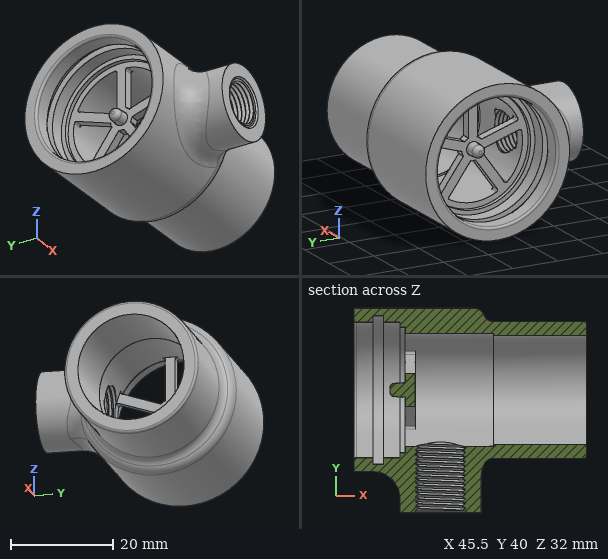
import cadquery as cq
import math

total_length = 45.45
sleeve_radius = 16.0
spigot_radius = 13.4
shoulder_x = 25.4
shoulder_radius = 2.0
spigot_end_round = 0.5

socket_radius = 26.4 / 2
socket_mouth_round = 0.5
seal_groove_radius = 29.0 / 2
seal_groove_start = 3.77
seal_groove_end = 5.77
socket_end = 9.0
seat_radius = 24.5 / 2
seat_end = 10.0
bore_radius = 22.0 / 2
outlet_start = 27.3
outlet_radius = 21.3 / 2

spoke_count = 5
spoke_width = 2.0
wheel_thickness = 2.0
wheel_hub_radius = 2.5
spoke_root_round = 0.4

pin_length = 3.0
pin_base_radius = 1.45
pin_dome_radius = 1.95 / 2
pin_tip_radius = 0.34

port_x = 16.9
port_radius = 16.0 / 2
port_face_y = -24.0
port_blend_radius = 5.0
thread_minor_radius = 8.45 / 2
thread_major_radius = 9.78 / 2
thread_pitch = 0.9
thread_turns = 15
port_mouth_radius = 10.45 / 2


def turned(profile):
    """Revolve a closed half-profile (x, radius) about the X axis."""
    return profile.close().revolve(360, (0, 0, 0), (1, 0, 0))


def make_body():
    """Solid sleeve and spigot joined by two tangent arcs."""
    middle_radius = (sleeve_radius + spigot_radius) / 2
    arc_drop = sleeve_radius - middle_radius
    arc_length = math.sqrt(shoulder_radius**2 - (shoulder_radius - arc_drop) ** 2)
    outline = (
        cq.Workplane("XY")
        .lineTo(0, sleeve_radius)
        .lineTo(shoulder_x - arc_length, sleeve_radius)
        .radiusArc((shoulder_x, middle_radius), shoulder_radius)
        .radiusArc((shoulder_x + arc_length, spigot_radius), -shoulder_radius)
        .lineTo(total_length, spigot_radius)
        .lineTo(total_length, 0)
    )
    return turned(outline).faces(">X").edges().fillet(spigot_end_round)


def add_port_boss(body):
    """Join the side port to the body with a large blend around its root."""
    boss = cq.Workplane("XZ").center(port_x, 0).circle(port_radius).extrude(-port_face_y)
    joined = body.union(boss)
    root_reach = port_radius + 0.05
    near_root = cq.selectors.BoxSelector(
        (port_x - root_reach, -sleeve_radius - 0.05, -root_reach),
        (port_x + root_reach, -spigot_radius + 0.45, root_reach),
        boundingbox=True,
    )
    return joined.edges(near_root).fillet(port_blend_radius)


def make_bore():
    """Stepped bore with a rounded mouth and a seal groove in the socket."""
    outline = (
        cq.Workplane("XY")
        .lineTo(0, socket_radius + socket_mouth_round)
        .radiusArc((socket_mouth_round, socket_radius), -socket_mouth_round)
        .lineTo(seal_groove_start, socket_radius)
        .lineTo(seal_groove_start, seal_groove_radius)
        .lineTo(seal_groove_end, seal_groove_radius)
        .lineTo(seal_groove_end, socket_radius)
        .lineTo(socket_end, socket_radius)
        .lineTo(socket_end, seat_radius)
        .lineTo(seat_end, seat_radius)
        .lineTo(seat_end, bore_radius)
        .lineTo(outlet_start, bore_radius)
        .lineTo(outlet_start, outlet_radius)
        .lineTo(total_length, outlet_radius)
        .lineTo(total_length, 0)
    )
    return turned(outline)


def make_port_hole():
    """Tapped hole with a countersunk mouth, running into the main bore."""
    mouth = port_face_y
    hole_end = -(bore_radius - 1.8)
    countersink_end = mouth + port_mouth_radius - thread_major_radius
    return (
        cq.Workplane("XY")
        .moveTo(port_x, mouth)
        .lineTo(port_x + port_mouth_radius, mouth)
        .lineTo(port_x + thread_major_radius, countersink_end)
        .lineTo(port_x + thread_minor_radius, countersink_end)
        .lineTo(port_x + thread_minor_radius, hole_end)
        .lineTo(port_x, hole_end)
        .close()
        .revolve(360, (port_x, 0, 0), (port_x, 1, 0))
    )


def make_thread():
    """Helical V-groove of the tapped hole."""
    overlap = 0.05
    half_width = 0.48 * thread_pitch
    helix = cq.Wire.makeHelix(thread_pitch, thread_pitch * thread_turns, thread_minor_radius)
    groove = (
        cq.Workplane("XZ")
        .moveTo(thread_minor_radius - overlap, -half_width)
        .lineTo(thread_major_radius, 0)
        .lineTo(thread_minor_radius - overlap, half_width)
        .close()
        .sweep(cq.Workplane(obj=helix), isFrenet=True)
    )
    return groove.rotate((0, 0, 0), (1, 0, 0), -90).translate((port_x, port_face_y, 0))


def make_wheel():
    """Hub and spokes, with the spoke roots blended into the bore wall."""
    rim_radius = bore_radius + 0.45
    plane = cq.Workplane("YZ", origin=(seat_end, 0, 0))
    rim = plane.circle(rim_radius).circle(bore_radius).extrude(wheel_thickness)
    wheel = plane.circle(wheel_hub_radius).extrude(wheel_thickness)
    for i in range(spoke_count):
        spoke = (
            plane.center(0, bore_radius / 2)
            .rect(spoke_width, bore_radius + 0.45)
            .extrude(wheel_thickness)
            .rotate((0, 0, 0), (1, 0, 0), i * 360 / spoke_count)
        )
        wheel = wheel.union(spoke)
    wheel = wheel.union(rim)
    roots = wheel.edges("|X").filter(
        lambda edge: abs(math.hypot(edge.Center().y, edge.Center().z) - bore_radius) < 0.05
    )
    return roots.fillet(spoke_root_round)


def make_pin():
    """Slightly tapered pin with a domed end and a small flat tip."""
    tip_x = seat_end - pin_length
    root_x = seat_end + wheel_thickness / 2
    outline = (
        cq.Workplane("XY")
        .moveTo(tip_x, 0)
        .lineTo(tip_x, pin_tip_radius)
        .radiusArc((tip_x + pin_dome_radius, pin_tip_radius + pin_dome_radius), pin_dome_radius)
        .lineTo(seat_end, pin_base_radius)
        .lineTo(root_x, pin_base_radius)
        .lineTo(root_x, 0)
    )
    return turned(outline)


shell = add_port_boss(make_body()).cut(make_bore()).cut(make_port_hole())
shell = shell.cut(make_thread())
result = shell.union(make_wheel()).union(make_pin())